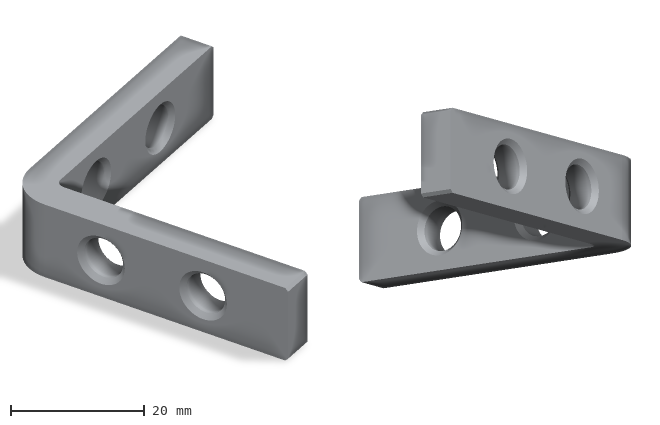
import cadquery as cq

leg_length = 50.0
thickness = 5.5
height = 13.0
outer_bend_radius = 7.0
inner_bend_radius = outer_bend_radius - thickness
end_corner_size = 0.5

hole_diameter = 6.8
countersink_diameter = 8.4
countersink_depth = (countersink_diameter - hole_diameter) / 2
first_hole_distance = 17.0
hole_spacing = 18.0
hole_distances = [first_hole_distance, first_hole_distance + hole_spacing]


def make_bent_bar():
    """L-shaped bar with its outer bend at the origin and legs along +X and +Y."""
    bar = (
        cq.Workplane("XY")
        .moveTo(0, 0)
        .lineTo(leg_length, 0)
        .lineTo(leg_length, thickness)
        .lineTo(thickness, thickness)
        .lineTo(thickness, leg_length)
        .lineTo(0, leg_length)
        .close()
        .extrude(height)
    )
    outer_corner = cq.selectors.NearestToPointSelector((0, 0, height / 2))
    bar = bar.edges(outer_corner).fillet(outer_bend_radius)
    inner_corner = cq.selectors.NearestToPointSelector((thickness, thickness, height / 2))
    return bar.edges(inner_corner).fillet(inner_bend_radius)


def break_end_corners(bar):
    """Bevel the top and bottom edges at the free end of each leg."""
    bar = bar.faces(">X").edges("|Y").chamfer(end_corner_size)
    return bar.faces(">Y").edges("|X").chamfer(end_corner_size)


def make_hole_cutter():
    """Through-hole body along +Y from the origin, flared conically at both mouths."""
    hole_radius = hole_diameter / 2
    mouth_radius = countersink_diameter / 2
    return (
        cq.Workplane("XY")
        .moveTo(0, 0)
        .lineTo(mouth_radius, 0)
        .lineTo(hole_radius, countersink_depth)
        .lineTo(hole_radius, thickness - countersink_depth)
        .lineTo(mouth_radius, thickness)
        .lineTo(0, thickness)
        .close()
        .revolve(360, (0, 0, 0), (0, 1, 0))
    )


def drill_holes(bar):
    """Cut the same row of holes through both legs at mid height."""
    leg_x_cutter = make_hole_cutter()
    leg_y_cutter = leg_x_cutter.rotate((0, 0, 0), (0, 0, 1), -90)
    for distance in hole_distances:
        bar = bar.cut(leg_x_cutter.translate((distance, 0, height / 2)))
        bar = bar.cut(leg_y_cutter.translate((0, distance, height / 2)))
    return bar


result = drill_holes(break_end_corners(make_bent_bar()))